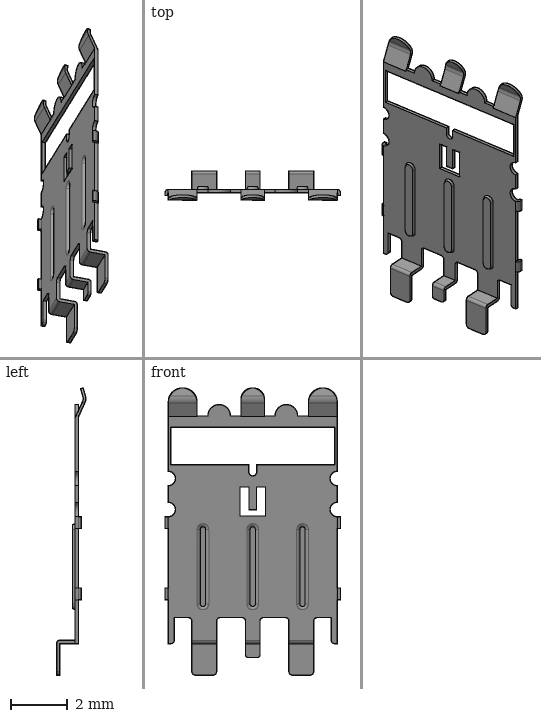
import cadquery as cq
import math

thickness = 0.13
front_y = -thickness
overall_depth = 1.03
overall_height = 10.1
half_width = 2.97
panel_top = 7.09

window_half_width = 2.875
window_bottom = 5.38
window_top = 6.69
relief_half_width = 0.135
relief_bottom = 4.985

cutout_half_width = 0.445
cutout_bottom = 3.58
cutout_top = 4.59
tongue_half_width = 0.14
tongue_end = 3.79

notch_radius = 0.25
notch_heights = (3.80, 4.89)
bump_radius = 0.40
bump_x = 1.18

ear_half_span = 3.085
ear_thickness = 0.1
ear_depth = 0.225
ear_root_x = half_width - 0.1
ear_height = 0.42
ear_bottoms = (0.63, 3.13)
ear_outer_radius = 0.125
ear_inner_radius = 0.03

bead_spacing = 1.75
bead_bottom = 0.28
bead_top = 3.305
bead_depth = 0.09
bead_mouth_radius = 0.205
bead_floor_radius = 0.093
bead_crest_radius = 0.165

arm_width = 0.22
arm_bottom = -0.917
arm_corner_radius = 0.13

shelf_bottom = arm_bottom
leg_rear_y = 0.645
leg_thickness = 0.115
leg_bend_radius = 0.11
heel_radius = 0.12
root_radius = 0.12
side_leg_x = 1.704
side_leg_width = 0.88
side_leg_bottom = -2.025
side_leg_corner_radius = 0.14
center_leg_width = 0.515
center_leg_bottom = -1.405
center_leg_corner_radius = 0.1

tab_fold_z = 7.06
tab_top = side_leg_bottom + overall_height
tab_front_y = leg_rear_y - overall_depth
tab_thickness = 0.1
tab_lean = math.radians(24.5)
tab_curl = math.radians(16)
tab_bend_radius = 0.35
side_tab_width = 1.015
center_tab_width = 0.83
tab_root_z = tab_fold_z - (thickness - tab_thickness / math.cos(tab_lean)) / math.tan(tab_lean)


def block(x_min, x_max, y_min, y_max, z_min, z_max):
    """Axis-aligned box between the given limits."""
    size = (x_max - x_min, y_max - y_min, z_max - z_min)
    return cq.Workplane("XY").box(*size, centered=False).translate((x_min, y_min, z_min))


def sheet_block(x_min, x_max, z_min, z_max):
    """Rectangle of sheet through the panel thickness."""
    return block(x_min, x_max, front_y, 0, z_min, z_max)


def sheet_disc(x, z, radius):
    """Disc through the panel thickness."""
    return cq.Workplane("XZ").center(x, z).circle(radius).extrude(thickness)


def panel():
    """Flat main panel with its top bumps, window, cutout and edge notches."""
    body = sheet_block(-half_width, half_width, 0, panel_top)
    for side in (-1, 1):
        body = body.union(sheet_disc(side * bump_x, panel_top, bump_radius))
        for z in notch_heights:
            body = body.cut(sheet_disc(side * half_width, z, notch_radius))

    body = body.cut(sheet_block(-window_half_width, window_half_width, window_bottom, window_top))
    relief_center = relief_bottom + relief_half_width
    body = body.cut(sheet_block(-relief_half_width, relief_half_width, relief_center, window_bottom))
    body = body.cut(sheet_disc(0, relief_center, relief_half_width))

    cutout = sheet_block(-cutout_half_width, cutout_half_width, cutout_bottom, cutout_top)
    tongue = sheet_block(-tongue_half_width, tongue_half_width, tongue_end, cutout_top)
    return body.cut(cutout.cut(tongue))


def ear(z_min):
    """Right-hand ear folded forward from the panel edge."""
    x_out = ear_half_span
    x_in = x_out - ear_thickness
    return (
        cq.Workplane("XY")
        .moveTo(ear_root_x, 0)
        .lineTo(x_out - ear_outer_radius, 0)
        .radiusArc((x_out, -ear_outer_radius), ear_outer_radius)
        .lineTo(x_out, -ear_depth)
        .lineTo(x_in, -ear_depth)
        .lineTo(x_in, front_y - ear_inner_radius)
        .radiusArc((x_in - ear_inner_radius, front_y), -ear_inner_radius)
        .lineTo(ear_root_x, front_y)
        .close()
        .extrude(ear_height)
        .translate((0, 0, z_min))
    )


def arm():
    """Right-hand arm hanging from the lower corner of the panel."""
    body = sheet_block(half_width - arm_width, half_width, arm_bottom, 0)
    return body.edges("|Y and <X and <Z").fillet(arm_corner_radius)


def bead_solid(section):
    """Sweep a half section, given about the bead's end axis, along the whole bead."""
    z_low = bead_bottom + bead_mouth_radius
    z_high = bead_top - bead_mouth_radius
    end = section(cq.Workplane("XY")).revolve(360, (0, 0, 0), (0, 1, 0))
    straight = section(cq.Workplane("XY")).extrude(z_high - z_low)
    body = end.union(end.translate((0, 0, z_high - z_low)))
    body = body.union(straight).union(straight.mirror("YZ"))
    return body.translate((0, 0, z_low))


def bead_groove_section(plane):
    """Groove half section with a rounded lip tangent to the front face."""
    lip_run = bead_mouth_radius - bead_floor_radius
    lip_radius = (lip_run**2 + bead_depth**2) / (2 * bead_depth)
    return (
        plane.moveTo(0, front_y)
        .lineTo(bead_mouth_radius, front_y)
        .radiusArc((bead_floor_radius, front_y + bead_depth), lip_radius)
        .lineTo(0, front_y + bead_depth)
        .close()
    )


def bead_crest_section(plane):
    """Half section of the raised rear side, rooted inside the panel."""
    return plane.polyline([
        (0, front_y),
        (bead_mouth_radius, front_y),
        (bead_mouth_radius, 0),
        (bead_crest_radius, bead_depth),
        (0, bead_depth),
    ]).close()


def leg(x, width, bottom, corner_radius):
    """Leg with rounded roots, a shelf to the rear and a rounded foot."""
    half = width / 2
    shelf_top = shelf_bottom + thickness
    leg_front_y = leg_rear_y - leg_thickness
    stem = block(-half, half, front_y, 0, shelf_bottom, 0)
    shelf = block(-half, half, front_y, leg_rear_y, shelf_bottom, shelf_top)
    foot = block(-half, half, leg_front_y, leg_rear_y, bottom, shelf_top)
    foot = foot.edges("|Y and <Z").fillet(corner_radius)
    body = stem.union(shelf).union(foot)
    bend = cq.selectors.NearestToPointSelector((0, leg_rear_y, shelf_top))
    body = body.edges(bend).fillet(leg_bend_radius)
    heel = cq.selectors.NearestToPointSelector((0, front_y, shelf_bottom))
    body = body.edges(heel).fillet(heel_radius)
    for side in (-1, 1):
        edge = side * half
        x_limits = sorted((edge, edge + side * root_radius))
        web = sheet_block(*x_limits, -root_radius, 0)
        web = web.cut(sheet_disc(edge + side * root_radius, -root_radius, root_radius))
        body = body.union(web)
    return body.translate((x, 0, 0))


def tab(x, width):
    """Spring tab: constant-thickness bent strip with a semicircular tip."""
    bend_y = tab_front_y + tab_bend_radius
    inner_radius = tab_bend_radius - tab_thickness

    def on_bend(radius, angle, z):
        return (bend_y - radius * math.cos(angle), z + radius * math.sin(angle))

    lean_y, lean_dz = on_bend(tab_bend_radius, -tab_lean, 0)
    bend_z = tab_fold_z + (front_y - lean_y) / math.tan(tab_lean) - lean_dz
    back_lean = on_bend(inner_radius, -tab_lean, bend_z)

    front_curl = on_bend(tab_bend_radius, tab_curl, bend_z)
    back_curl = on_bend(inner_radius, tab_curl, bend_z)
    tip_y = front_curl[0] + (tab_top - front_curl[1]) * math.tan(tab_curl)
    tip_back_y = tip_y + tab_thickness * math.cos(tab_curl)
    tip_back_z = tab_top - tab_thickness * math.sin(tab_curl)
    strip = (
        cq.Workplane("YZ")
        .moveTo(front_y, tab_fold_z)
        .lineTo(*on_bend(tab_bend_radius, -tab_lean, bend_z))
        .threePointArc(on_bend(tab_bend_radius, 0, bend_z), front_curl)
        .lineTo(tip_y, tab_top)
        .lineTo(tip_back_y, tip_back_z)
        .lineTo(*back_curl)
        .threePointArc(on_bend(inner_radius, 0, bend_z), back_lean)
        .lineTo(0, tab_root_z)
        .lineTo(front_y, tab_root_z)
        .close()
        .extrude(width / 2, both=True)
    )

    half = width / 2
    outline_bottom = tab_top - 2 * (tab_top - tab_fold_z)
    outline = (
        cq.Workplane("XZ")
        .moveTo(-half, outline_bottom)
        .lineTo(-half, tab_top - half)
        .threePointArc((0, tab_top), (half, tab_top - half))
        .lineTo(half, outline_bottom)
        .close()
        .extrude(overall_depth, both=True)
        .translate((0, tip_y, 0))
        .rotate((0, tip_y, tab_top), (1, tip_y, tab_top), -math.degrees(tab_curl))
    )
    return strip.intersect(outline).translate((x, 0, 0))


def build():
    body = panel()
    for part in [arm()] + [ear(z) for z in ear_bottoms]:
        body = body.union(part).union(part.mirror("YZ"))

    body = body.union(leg(0, center_leg_width, center_leg_bottom, center_leg_corner_radius))
    for side in (-1, 1):
        body = body.union(leg(side * side_leg_x, side_leg_width, side_leg_bottom, side_leg_corner_radius))

    side_tab_x = half_width - side_tab_width / 2
    for x, width in ((-side_tab_x, side_tab_width), (0, center_tab_width), (side_tab_x, side_tab_width)):
        body = body.cut(sheet_block(x - width / 2, x + width / 2, tab_root_z, panel_top))
        body = body.union(tab(x, width))

    crest = bead_solid(bead_crest_section)
    groove = bead_solid(bead_groove_section)
    for column in (-1, 0, 1):
        place = (column * bead_spacing, 0, 0)
        body = body.union(crest.translate(place)).cut(groove.translate(place))
    return body


result = build()